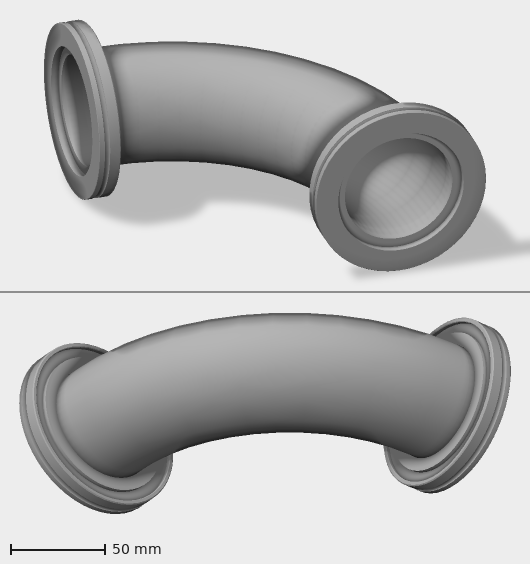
import cadquery as cq
import math

overall = 185.9
flange_dia = 95.0
flange_thickness = 12.0

tube_outer_dia = 63.5
tube_inner_dia = 60.2
tube_stub = 3.7

seal_recess_dia = 70.0
seal_recess_depth = 4.0
lip_dia = 60.0
lip_length = 1.5
socket_dia = 63.8

rim_groove_radius = 1.5
rim_groove_position = 4.5
back_recess_inner_dia = 78.0
back_recess_outer_dia = 90.0
back_recess_depth = 2.5
back_recess_chamfer = 0.4
back_rim_chamfer = 0.5
front_rim_chamfer = 0.2

axis_offset = flange_dia / 2
axis_length = overall - axis_offset
tube_end = seal_recess_depth + lip_length
bend_start = flange_thickness + tube_stub
bend_radius = axis_length - bend_start

INLET = cq.Plane(origin=(0, -axis_length, 0), xDir=(1, 0, 0), normal=(0, 1, 0))
OUTLET = cq.Plane(origin=(axis_length, 0, 0), xDir=(0, 1, 0), normal=(-1, 0, 0))


def make_flange(plane):
    """Flange with its sealing face on the plane and its back toward the normal."""
    body = cq.Workplane("XY").circle(flange_dia / 2).extrude(flange_thickness)
    body = body.faces(">Z").edges().chamfer(back_rim_chamfer)
    body = body.faces("<Z").edges().chamfer(front_rim_chamfer)

    body = body.cut(cq.Workplane("XY").circle(seal_recess_dia / 2).extrude(seal_recess_depth))
    body = body.cut(cq.Workplane("XY").circle(lip_dia / 2).extrude(flange_thickness))
    socket = cq.Workplane("XY").workplane(offset=tube_end).circle(socket_dia / 2).extrude(flange_thickness)
    body = body.cut(socket)

    back_recess = (
        cq.Workplane("XY")
        .workplane(offset=flange_thickness - back_recess_depth)
        .circle(back_recess_outer_dia / 2)
        .circle(back_recess_inner_dia / 2)
        .extrude(back_recess_depth)
    )
    body = body.cut(back_recess)
    recess_mouth = cq.selectors.RadiusNthSelector(-2)
    body = body.faces(">Z").edges(recess_mouth).chamfer(back_recess_chamfer)

    rim_groove = cq.Solid.makeTorus(
        flange_dia / 2, rim_groove_radius, cq.Vector(0, 0, rim_groove_position), cq.Vector(0, 0, 1)
    )
    return body.cut(cq.Workplane(rim_groove)).val().located(cq.Location(plane))


def make_elbow():
    """Quarter-bend tube whose straight ends seat against the flange lips."""
    bend_middle = bend_radius * (1 - math.sqrt(0.5))
    path = (
        cq.Workplane("XY")
        .moveTo(0, tube_end - axis_length)
        .lineTo(0, -bend_radius)
        .threePointArc((bend_middle, -bend_middle), (bend_radius, 0))
        .lineTo(axis_length - tube_end, 0)
    )
    section_plane = cq.Plane(
        origin=(0, tube_end - axis_length, 0), xDir=INLET.xDir, normal=INLET.zDir
    )
    return (
        cq.Workplane(section_plane)
        .circle(tube_outer_dia / 2)
        .circle(tube_inner_dia / 2)
        .sweep(path)
    )


elbow = make_elbow()
flanges = [make_flange(plane) for plane in (INLET, OUTLET)]

result = cq.Compound.makeCompound([elbow.val(), *flanges])